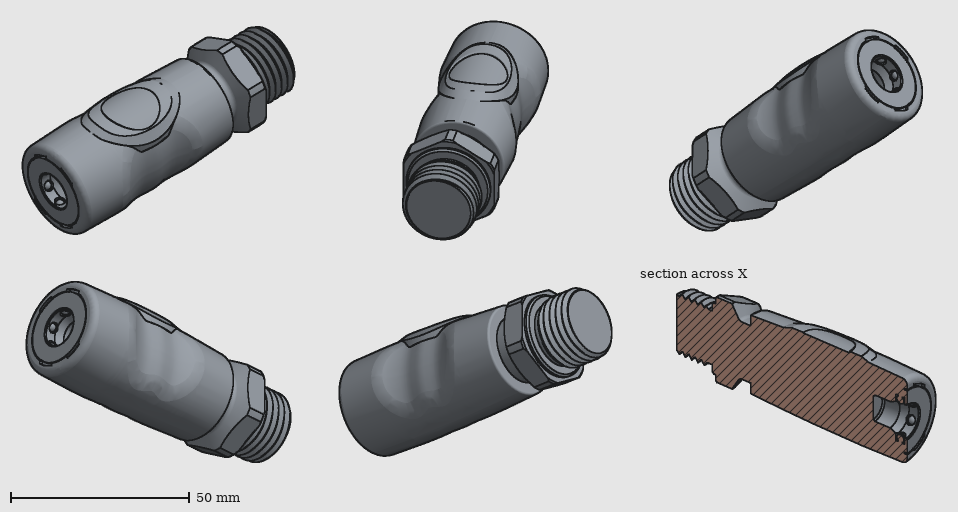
import cadquery as cq
import math


total_length = 82.22
grip_end = 55.95
hex_start = 62.4
hex_end = 68.3
collar_end = 69.55
relief_start = 70.8
relief_end = 72.4

grip_max_radius = 14.545
grip_max_station = 16.0
grip_front_bulge_radius = 300.0
grip_rear_bulge_radius = 620.0
grip_front_round = 1.9
grip_rear_round = 0.6

neck_radius = 9.7
neck_overlap = 5.0
neck_fillet = 1.1
hex_across_flats = 26.0
hex_corner_radius = 14.4
hex_chamfer = 0.45
hex_cone_angle = 30.0
collar_radius = 12.05
collar_chamfer = 0.6

thread_radius = 10.5
thread_root_radius = 9.13
thread_pitch = 2.25
thread_root_gap = 0.05
thread_foot_depth = 0.1
thread_turns = 7
thread_chamfer = 1.2
thread_helix_start = 79.67 - 5 * thread_pitch

pad_station = 28.95
pad_flank_station = 28.1
pad_height = 0.97
pad_low_level = 7.5
pad_low_half_width = 12.25
pad_low_half_length = 33.3
pad_outline_half_width = 10.95
pad_outline_half_length = 15.7
pad_high_level = 15.8
pad_high_half_width = 6.8
pad_high_half_length = 11.0
button_radius = 8.2
button_surface_radius = 14.95
button_rim_round = 0.5
button_rim_box = ((-1, pad_station - 1, 13.95), (1, pad_station + 1, 15))

hollow_hump_radius = 12.0
hollow_valley_station = 5.2
hollow_valley_radius = 11.48
hollow_wall_foot = 9.0
hollow_wall_foot_radius = 12.25
hollow_wall_end = 16.0
hollow_wall_end_radius = 16.3
hollow_cross_radius = 26.7
hollow_edge_fillet = 7.0
hollow_floor_box = ((9, 12, -13), (14, 45, 13))

insert_radius = 10.6
gap_radius = 10.85
gap_depth = 1.0
notch_radius = 11.55
notch_half_span = 7.8
notch_low_level = 7.3
notch_centre_angle = 16.0
bore_mouth_radius = 5.85
bore_radius = 5.5
bore_cone_start = 3.7
bore_cone_end = 6.1
bore_floor_radius = 4.35
bore_floor_chamfer = 0.5
bore_depth = 12.0
ball_count = 6
ball_first_angle = 30.0
ball_station = 2.5
ball_radius = 1.35
ball_seat_depth = 0.9 * ball_radius
ball_hole_radius = 1.5
ball_hole_depth = 2.2


def turned(profile):
    """Solid of revolution about Y of an XY outline, closed here."""
    return profile.close().revolve(360, (0, 0, 0), (0, 1, 0))


def cylinder(radius, start, end):
    return cq.Workplane("XZ", origin=(0, start, 0)).circle(radius).extrude(start - end)


def grip_radius_at(station):
    """Outer radius of the grip: two long arcs that meet tangentially at the widest station."""
    bulge = grip_rear_bulge_radius if station > grip_max_station else grip_front_bulge_radius
    offset = station - grip_max_station
    return grip_max_radius - bulge + math.sqrt(bulge**2 - offset**2)


def barrel(extra_radius):
    """The grip's barrelled shape, enlarged by extra_radius."""

    def point(station):
        return grip_radius_at(station) + extra_radius, station

    return turned(
        cq.Workplane("XY")
        .lineTo(*point(0))
        .threePointArc(point(grip_max_station / 2), point(grip_max_station))
        .threePointArc(point((grip_max_station + grip_end) / 2), point(grip_end))
        .lineTo(0, grip_end)
    )


def button_recess():
    """Round recess in the pad with a floor that follows the grip's roundness."""
    shaft = (
        cq.Workplane("XY", origin=(0, pad_station, 0))
        .circle(button_radius)
        .extrude(grip_max_radius + 2 * pad_height)
    )
    return shaft.cut(cylinder(button_surface_radius, 0, grip_end))


def pad():
    """Raised oval pad with sloping flanks, capped parallel to the grip, with the button recess."""
    flanks = (
        cq.Workplane("XY", origin=(0, pad_flank_station, pad_low_level))
        .ellipse(pad_low_half_width, pad_low_half_length)
        .workplane(offset=pad_high_level - pad_low_level)
        .ellipse(pad_high_half_width, pad_high_half_length)
        .loft(ruled=True)
    )
    outline = (
        cq.Workplane("XY", origin=(0, pad_station, 0))
        .ellipse(pad_outline_half_width, pad_outline_half_length)
        .extrude(pad_high_level)
    )
    recessed = flanks.intersect(outline).intersect(barrel(pad_height)).cut(button_recess())
    rim = cq.selectors.BoxSelector(*button_rim_box)
    return recessed.edges(rim).fillet(button_rim_round)


def hollow():
    """Cutter for the +X finger hollow: two valleys with a low hump between, rounded across."""
    axis_x = hollow_hump_radius - hollow_cross_radius
    outer_x = 2 * grip_max_radius
    half_floor = [
        (hollow_valley_radius, hollow_valley_station),
        (hollow_wall_foot_radius, hollow_wall_foot),
        (hollow_wall_end_radius, hollow_wall_end),
    ]
    mirrored_floor = [(radius, -station) for radius, station in reversed(half_floor)]
    outline = (
        cq.Workplane("XY", origin=(0, pad_station, 0))
        .spline([*mirrored_floor, (hollow_hump_radius, 0), *half_floor])
        .lineTo(outer_x, hollow_wall_end)
        .lineTo(outer_x, -hollow_wall_end)
    )
    return outline.close().revolve(360, (axis_x, 0, 0), (axis_x, 1, 0))


def hollowed_half():
    """The +X half of the grip with its finger hollow and the hollow's rounded edge."""
    size = 2 * total_length
    half_space = cq.Workplane("XY").box(size, size, size).translate((size / 2, 0, 0))
    cutter = hollow().intersect(half_space)
    body = barrel(0).cut(cutter)
    floor = body.faces(cq.selectors.BoxSelector(*hollow_floor_box)).vals()
    edges = [edge for face in floor for edge in face.Edges()]
    rim = [edge for edge in edges if sum(edge.isSame(other) for other in edges) == 1]
    return cq.Workplane(body.val().fillet(hollow_edge_fillet, rim)).intersect(half_space)


def grip():
    half = hollowed_half()
    body = half.union(half.mirror("YZ"))
    body = body.faces("<Y").edges().fillet(grip_front_round)
    body = body.faces(">Y").edges().fillet(grip_rear_round)
    return body.union(pad())


def neck_and_hexagon():
    """Round neck widening by a cone into a hexagon with two rounded corners on the Z axis."""
    neck_start = grip_end - neck_overlap
    cone_rise = (hex_corner_radius - neck_radius) * math.tan(math.radians(hex_cone_angle))
    cone_foot = hex_start - cone_rise
    prism = (
        cq.Workplane("XZ", origin=(0, hex_end, 0))
        .transformed(rotate=(0, 0, 90))
        .polygon(6, 2 * hex_across_flats / math.sqrt(3))
        .extrude(hex_end - neck_start)
    )
    envelope = turned(
        cq.Workplane("XY")
        .moveTo(0, neck_start)
        .lineTo(neck_radius, neck_start)
        .lineTo(neck_radius, cone_foot)
        .lineTo(hex_corner_radius, hex_start)
        .lineTo(hex_corner_radius, hex_end - hex_chamfer)
        .lineTo(hex_corner_radius - hex_chamfer, hex_end)
        .lineTo(0, hex_end)
    )
    foot = cq.selectors.NearestToPointSelector((0, cone_foot, 0))
    return prism.intersect(envelope.edges(foot).fillet(neck_fillet))


def threaded_end():
    """Collar and core with a right-handed V ridge, chamfered at both ends of the thread."""
    tip_radius = thread_radius - thread_chamfer
    core = turned(
        cq.Workplane("XY")
        .moveTo(0, hex_end)
        .lineTo(collar_radius, hex_end)
        .lineTo(collar_radius, collar_end - collar_chamfer)
        .lineTo(collar_radius - collar_chamfer, collar_end)
        .lineTo(thread_root_radius, collar_end)
        .lineTo(thread_root_radius, total_length)
        .lineTo(0, total_length)
    )
    envelope = turned(
        cq.Workplane("XY")
        .moveTo(0, relief_start)
        .lineTo(thread_root_radius, relief_start)
        .lineTo(thread_radius, relief_end)
        .lineTo(thread_radius, total_length - thread_chamfer)
        .lineTo(tip_radius, total_length)
        .lineTo(0, total_length)
    )
    helix = cq.Wire.makeHelix(thread_pitch, thread_turns * thread_pitch, thread_root_radius)
    half_width = (thread_pitch - thread_root_gap) / 2
    foot_radius = thread_root_radius - thread_foot_depth
    ridge = (
        cq.Workplane("XZ")
        .moveTo(foot_radius, -half_width)
        .lineTo(thread_radius, 0)
        .lineTo(foot_radius, half_width)
        .close()
        .sweep(cq.Workplane(obj=helix), isFrenet=True)
        .rotate((0, 0, 0), (1, 0, 0), -90)
        .rotate((0, 0, 0), (0, 1, 0), 180)
        .translate((0, thread_helix_start, 0))
    )
    return core.union(ridge.intersect(envelope))


def insert_gap():
    """Narrow ring-shaped gap around the socket insert."""
    return cylinder(gap_radius, 0, gap_depth).cut(cylinder(insert_radius, 0, gap_depth))


def notches():
    """Four short widenings of the gap around the socket insert."""
    ring = cylinder(notch_radius, 0, gap_depth)
    ring = ring.intersect(
        cq.Workplane("XY").box(2 * notch_half_span, 2 * gap_depth, 2 * notch_radius)
    )
    reach = 2 * notch_radius
    half = reach * math.tan(math.radians(notch_centre_angle))
    wedge = (
        cq.Workplane("XZ")
        .polyline([(0, 0), (half, reach), (-half, reach)])
        .close()
        .extrude(-gap_depth)
    )
    side_band = cq.Workplane("XY").box(2 * reach, 2 * gap_depth, 2 * notch_low_level)
    kept = cylinder(insert_radius, 0, gap_depth)
    return ring.cut(wedge).cut(wedge.mirror("XY")).cut(side_band).cut(kept)


def bore():
    """Blind socket bore: chamfered mouth, straight wall, cone and narrower bottom."""
    mouth = bore_mouth_radius - bore_radius
    return turned(
        cq.Workplane("XY")
        .lineTo(bore_mouth_radius, 0)
        .lineTo(bore_radius, mouth)
        .lineTo(bore_radius, bore_cone_start)
        .lineTo(bore_floor_radius, bore_cone_end)
        .lineTo(bore_floor_radius, bore_depth - bore_floor_chamfer)
        .lineTo(bore_floor_radius - bore_floor_chamfer, bore_depth)
        .lineTo(0, bore_depth)
    )


def around_bore(shape):
    """Copies of a shape on +X, evenly spaced about the Y axis."""
    step = 360 / ball_count
    copies = [
        shape.rotate((0, 0, 0), (0, 1, 0), ball_first_angle + i * step) for i in range(ball_count)
    ]
    ring = copies[0]
    for copy in copies[1:]:
        ring = ring.union(copy)
    return ring


def ball_hole():
    """Radial hole from inside the bore into its wall."""
    return (
        cq.Workplane("YZ", origin=(bore_radius - 1, ball_station, 0))
        .circle(ball_hole_radius)
        .extrude(1 + ball_hole_depth)
    )


def ball():
    """Locking ball, sunk slightly into the bottom of its hole."""
    centre = bore_radius + ball_hole_depth - ball_seat_depth
    return cq.Workplane("XY").sphere(ball_radius).translate((centre, ball_station, 0))


result = grip().union(neck_and_hexagon())
result = result.union(threaded_end())
result = result.cut(insert_gap())
result = result.cut(notches()).cut(bore())
result = result.cut(around_bore(ball_hole())).union(around_bore(ball()))